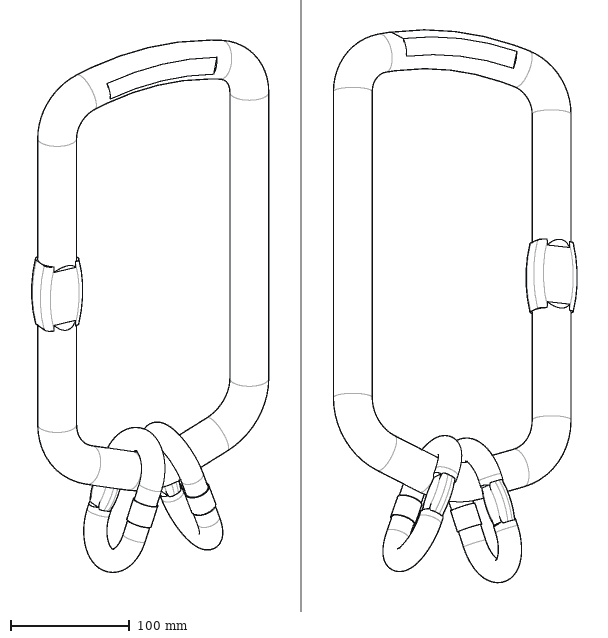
import cadquery as cq
import math

BAR_DIAMETER = 33.0
SIDE_OFFSET = 93.5
SIDE_HALF_LENGTH = 132.5
CROWN_HEIGHT = 177.5
TOP_CORNER_RADIUS = 37.5
BOTTOM_CORNER_RADIUS = 47.5
BOTTOM_SLOPE = 20.0
BOTTOM_BEND_RADIUS = 66.0

CROWN_FLAT_HALF_THICKNESS = 14.5
CROWN_FLAT_HALF_ANGLE = 12.0

MASTER_WELD_Z = -9.0
MASTER_WELD_LENGTH = 59.5
MASTER_WELD_WIDTH = 40.5
MASTER_WELD_THICKNESS = 25.5
MASTER_WELD_ROUNDING = 6.0
MASTER_FLAT_LENGTH = 49.0

WIRE_DIAMETER = 20.0
LINK_SIDE_OFFSET = 30.0
LINK_STRAIGHT_LENGTH = 46.0
LINK_TILT = 20.0
LINK_CENTRE_Y = 28.2
LINK_CENTRE_Z = -217.0
LINK_WELD_LENGTH = 36.0
LINK_WELD_WIDTH = 27.5
LINK_WELD_THICKNESS = 13.5
LINK_WELD_ROUNDING = 4.5
LINK_FLAT_LENGTH = 33.0
SLEEVE_DIAMETER = 21.5
SLEEVE_LENGTH = 19.0


def point_on_arc(centre, radius, degrees):
    """Point (y, z) at an angle measured from +Y towards +Z."""
    angle = math.radians(degrees)
    return (centre[0] + radius * math.cos(angle), centre[1] + radius * math.sin(angle))


def mirrored(point):
    return (-point[0], point[1])


def round_bar(path, start_y, diameter):
    """Sweep a circle along a closed path that starts upwards from (start_y, 0) in the YZ plane."""
    section = cq.Workplane("XY").center(0, start_y).circle(diameter / 2)
    return section.sweep(path)


def weld(bar, bar_diameter, y, z, length, width, thickness, rounding, flat_length):
    """Flatten an upright stretch of bar on both faces and add a barrel-shaped weld there."""
    half_bar = bar_diameter / 2
    half_thickness = thickness / 2
    recess = (
        cq.Workplane("XZ")
        .moveTo(half_thickness, -flat_length / 2)
        .lineTo(half_bar, -length / 2)
        .lineTo(half_bar, length / 2)
        .lineTo(half_thickness, flat_length / 2)
        .close()
        .extrude(half_bar, both=True)
    )
    recess = recess.union(recess.mirror("YZ")).translate((0, y, z))
    barrel = (
        cq.Workplane("YZ")
        .moveTo(half_bar, -length / 2)
        .threePointArc((width / 2, 0), (half_bar, length / 2))
        .lineTo(-half_bar, length / 2)
        .threePointArc((-width / 2, 0), (-half_bar, -length / 2))
        .close()
        .extrude(half_thickness, both=True)
        .edges("%CIRCLE")
        .fillet(rounding)
        .translate((0, y, z))
    )
    return bar.cut(recess).union(barrel)


def crown_arc():
    """Centre (y, z) and radius of the crown, tangent to both top corners."""
    corner_y = SIDE_OFFSET - TOP_CORNER_RADIUS
    rise = CROWN_HEIGHT - SIDE_HALF_LENGTH - TOP_CORNER_RADIUS
    centre_gap = (corner_y**2 + rise**2) / (2 * rise)
    radius = centre_gap + TOP_CORNER_RADIUS
    return (0, CROWN_HEIGHT - radius), radius


def master_path():
    crown_centre, crown_radius = crown_arc()
    top_corner = (SIDE_OFFSET - TOP_CORNER_RADIUS, SIDE_HALF_LENGTH)
    crown_angle = math.degrees(math.atan2(top_corner[1] - crown_centre[1], top_corner[0]))
    top_middle = point_on_arc(top_corner, TOP_CORNER_RADIUS, crown_angle / 2)
    top_end = point_on_arc(top_corner, TOP_CORNER_RADIUS, crown_angle)

    leg_angle = BOTTOM_SLOPE - 90
    bottom_corner = (SIDE_OFFSET - BOTTOM_CORNER_RADIUS, -SIDE_HALF_LENGTH)
    bottom_middle = point_on_arc(bottom_corner, BOTTOM_CORNER_RADIUS, leg_angle / 2)
    bottom_end = point_on_arc(bottom_corner, BOTTOM_CORNER_RADIUS, leg_angle)

    slope = math.radians(BOTTOM_SLOPE)
    legs_meet_z = bottom_end[1] - bottom_end[0] * math.tan(slope)
    bend_centre = (0, legs_meet_z + BOTTOM_BEND_RADIUS / math.cos(slope))
    bend_start = point_on_arc(bend_centre, BOTTOM_BEND_RADIUS, leg_angle)
    bend_lowest = point_on_arc(bend_centre, BOTTOM_BEND_RADIUS, -90)

    return (
        cq.Workplane("YZ")
        .moveTo(SIDE_OFFSET, 0)
        .lineTo(SIDE_OFFSET, SIDE_HALF_LENGTH)
        .threePointArc(top_middle, top_end)
        .threePointArc((0, CROWN_HEIGHT), mirrored(top_end))
        .threePointArc(mirrored(top_middle), (-SIDE_OFFSET, SIDE_HALF_LENGTH))
        .lineTo(-SIDE_OFFSET, -SIDE_HALF_LENGTH)
        .threePointArc(mirrored(bottom_middle), mirrored(bottom_end))
        .lineTo(*mirrored(bend_start))
        .threePointArc(bend_lowest, bend_start)
        .lineTo(*bottom_end)
        .threePointArc(bottom_middle, (SIDE_OFFSET, -SIDE_HALF_LENGTH))
        .close()
    )


def crown_recesses():
    """Ring sectors that leave a flat on each face of the crown."""
    centre, radius = crown_arc()
    inner = radius - BAR_DIAMETER / 2
    outer = radius + BAR_DIAMETER / 2
    start = 90 - CROWN_FLAT_HALF_ANGLE
    inner_start = point_on_arc(centre, inner, start)
    outer_start = point_on_arc(centre, outer, start)
    sector = (
        cq.Workplane("YZ", origin=(CROWN_FLAT_HALF_THICKNESS, 0, 0))
        .moveTo(*inner_start)
        .lineTo(*outer_start)
        .threePointArc(point_on_arc(centre, outer, 90), mirrored(outer_start))
        .lineTo(*mirrored(inner_start))
        .threePointArc(point_on_arc(centre, inner, 90), inner_start)
        .close()
        .extrude(BAR_DIAMETER)
    )
    return sector.union(sector.mirror("YZ"))


def make_master_link():
    ring = round_bar(master_path(), SIDE_OFFSET, BAR_DIAMETER).cut(crown_recesses())
    return weld(
        ring, BAR_DIAMETER, -SIDE_OFFSET, MASTER_WELD_Z, MASTER_WELD_LENGTH, MASTER_WELD_WIDTH,
        MASTER_WELD_THICKNESS, MASTER_WELD_ROUNDING, MASTER_FLAT_LENGTH,
    )


def make_sub_link(side):
    """Sub-link whose lower end leans towards +Y (side = 1) or -Y (side = -1)."""
    half_straight = LINK_STRAIGHT_LENGTH / 2
    end_height = half_straight + LINK_SIDE_OFFSET
    path = (
        cq.Workplane("YZ")
        .moveTo(LINK_SIDE_OFFSET, 0)
        .lineTo(LINK_SIDE_OFFSET, half_straight)
        .threePointArc((0, end_height), (-LINK_SIDE_OFFSET, half_straight))
        .lineTo(-LINK_SIDE_OFFSET, -half_straight)
        .threePointArc((0, -end_height), (LINK_SIDE_OFFSET, -half_straight))
        .close()
    )
    link = round_bar(path, LINK_SIDE_OFFSET, WIRE_DIAMETER)
    link = weld(
        link, WIRE_DIAMETER, -LINK_SIDE_OFFSET, 0, LINK_WELD_LENGTH, LINK_WELD_WIDTH,
        LINK_WELD_THICKNESS, LINK_WELD_ROUNDING, LINK_FLAT_LENGTH,
    )
    sleeve = (
        cq.Workplane("XY", origin=(0, LINK_SIDE_OFFSET, -SLEEVE_LENGTH / 2))
        .circle(SLEEVE_DIAMETER / 2)
        .extrude(SLEEVE_LENGTH)
    )
    return (
        link.union(sleeve)
        .rotate((0, 0, 0), (0, 0, 1), -90)
        .rotate((0, 0, 0), (1, 0, 0), side * LINK_TILT)
        .translate((0, side * LINK_CENTRE_Y, LINK_CENTRE_Z))
    )


master_link = make_master_link()
sub_links = [make_sub_link(side) for side in (1, -1)]

result = cq.Compound.makeCompound([master_link.val(), *[link.val() for link in sub_links]])